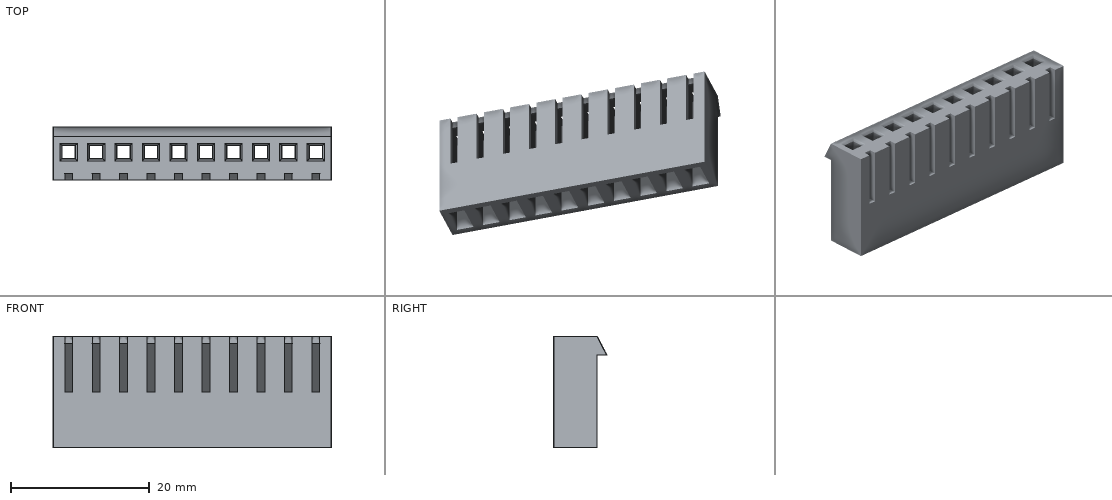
import cadquery as cq

circuit_count = 10
pitch = 3.96
length = 40.11
body_depth = 6.3
height = 16.0

ramp_overhang = 1.4
ramp_height = 2.7

roof_thickness = 1.0
front_wall = 1.0
back_wall = 1.0
cell_width = 2.5

entry_size = 1.9
entry_center_y = 4.05
lead_in_depth = 0.3
lead_in_size = entry_size + 2 * lead_in_depth

slot_width = 1.1
slot_bottom_z = 8.0

cell_centers = [(i - (circuit_count - 1) / 2) * pitch for i in range(circuit_count)]


def box_between(x_center, width, y_range, z_range):
    """Box of the given width centred on x_center, spanning the Y and Z ranges."""
    y_start, y_end = y_range
    z_start, z_end = z_range
    return cq.Workplane("XY").box(
        width, y_end - y_start, z_end - z_start, centered=(True, False, False)
    ).translate((x_center, y_start, z_start))


def housing():
    """Plain bar with the locking ramp, extruded along X from its end profile."""
    profile = [
        (0, 0),
        (body_depth, 0),
        (body_depth, height - ramp_height),
        (body_depth + ramp_overhang, height - ramp_height),
        (body_depth, height),
        (0, height),
    ]
    return cq.Workplane("YZ").polyline(profile).close().extrude(length / 2, both=True)


def terminal_cell(x_center):
    """Cavity from the bottom face up to the underside of the roof."""
    y_range = (front_wall, body_depth - back_wall)
    return box_between(x_center, cell_width, y_range, (0, height - roof_thickness))


def pin_entry(x_center):
    """Square hole through the roof with its tapered lead-in."""
    hole = (
        cq.Workplane("XY", origin=(x_center, entry_center_y, height - roof_thickness))
        .rect(entry_size, entry_size)
        .extrude(roof_thickness)
    )
    lead_in = (
        cq.Workplane("XY", origin=(x_center, entry_center_y, height))
        .rect(lead_in_size, lead_in_size)
        .workplane(offset=-lead_in_depth)
        .rect(entry_size, entry_size)
        .loft(ruled=True)
    )
    return hole.union(lead_in)


def front_slot(x_center):
    """Slot through the front wall, open at the top."""
    return box_between(x_center, slot_width, (0, front_wall), (slot_bottom_z, height))


result = housing()
for x in cell_centers:
    result = result.cut(terminal_cell(x))
    result = result.cut(pin_entry(x))
    result = result.cut(front_slot(x))